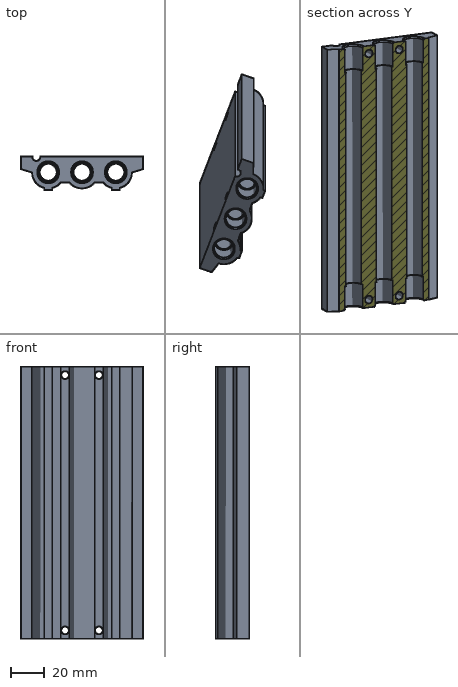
import cadquery as cq
import math

width = 72.9
thickness = 20.0
length = 162.0
back_y = thickness / 2
front_y = -thickness / 2
top_z = length / 2

channel_pitch = 20.12
channel_depth = 9.4
channel_y = back_y - channel_depth
channel_dia = 10.0
lobe_radius = 9.7
channel_xs = [-channel_pitch, 0.0, channel_pitch]

port_dia = 11.45
port_mouth_dia = 13.16
port_depth = 15.0

wing_edge_depth = 7.6
wing_root_depth = 9.8
wing_root_offset = 9.0

web_width = 5.12
lobe_half_chord = (channel_pitch - web_width) / 2
web_y = channel_y - math.sqrt(lobe_radius**2 - lobe_half_chord**2)

pad_width = 5.0

mount_hole_dia = 4.5
mount_hole_x = channel_pitch / 2
mount_hole_end_distance = 5.0

groove_dia = 4.5
groove_x = -27.2
groove_center_depth = 0.35


def extruded(sketch):
    """Extrude a sketch in the XY plane over the full length."""
    return sketch.extrude(length)


def base_plane():
    return cq.Workplane("XY").workplane(offset=-length / 2)


def make_body():
    """Back slab with wings and webs, joined to the lobes and pads."""
    half_width = width / 2
    root_x = channel_pitch + wing_root_offset
    wing_edge_y = back_y - wing_edge_depth
    wing_root_y = back_y - wing_root_depth
    slab_points = [
        (-half_width, back_y),
        (half_width, back_y),
        (half_width, wing_edge_y),
        (root_x, wing_root_y),
        (channel_pitch, wing_root_y),
        (channel_pitch, web_y),
        (-channel_pitch, web_y),
        (-channel_pitch, wing_root_y),
        (-root_x, wing_root_y),
        (-half_width, wing_edge_y),
    ]
    body = extruded(base_plane().polyline(slab_points).close())
    for x in channel_xs:
        half_disc = (
            base_plane()
            .moveTo(x - lobe_radius, channel_y)
            .threePointArc((x, channel_y - lobe_radius), (x + lobe_radius, channel_y))
            .close()
        )
        body = body.union(extruded(half_disc))

    pad_height = channel_y - front_y
    pad_y = (channel_y + front_y) / 2
    for x in (-channel_pitch, channel_pitch):
        body = body.union(extruded(base_plane().center(x, pad_y).rect(pad_width, pad_height)))
    return body


def cut_channels(body):
    """Bore the channels and open a chamfered port at each end."""
    mouth_chamfer = (port_mouth_dia - port_dia) / 2
    for x in channel_xs:
        body = body.cut(extruded(base_plane().center(x, channel_y).circle(channel_dia / 2)))
        for end in (-1, 1):
            axis = cq.Vector(0, 0, -end)
            mouth = cq.Vector(x, channel_y, end * top_z)
            port = cq.Solid.makeCylinder(port_dia / 2, port_depth, mouth, axis)
            countersink = cq.Solid.makeCone(port_mouth_dia / 2, port_dia / 2, mouth_chamfer, mouth, axis)
            body = body.cut(cq.Workplane(port)).cut(cq.Workplane(countersink))
    return body


def cut_mounting_holes(body):
    hole_z = top_z - mount_hole_end_distance
    holes = (
        cq.Workplane("XZ", origin=(0, back_y, 0))
        .rect(2 * mount_hole_x, 2 * hole_z, forConstruction=True)
        .vertices()
        .circle(mount_hole_dia / 2)
        .extrude(thickness)
    )
    return body.cut(holes)


def cut_groove(body):
    center_y = back_y - groove_center_depth
    return body.cut(extruded(base_plane().center(groove_x, center_y).circle(groove_dia / 2)))


result = make_body()
result = cut_channels(result)
result = cut_mounting_holes(result)
result = cut_groove(result)